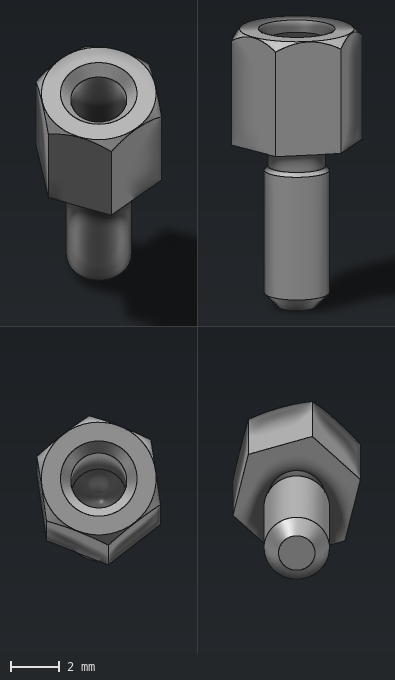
import cadquery as cq
import math

across_flats = 4.75
head_height = 4.8
total_height = 11.75
corner_radius = across_flats / math.sqrt(3)
crown_radius = 2.36

neck_radius = 1.185
neck_length = 1.0
stud_radius = 1.35
tip_radius = 0.75
stud_shoulder = stud_radius - neck_radius
tip_chamfer = stud_radius - tip_radius

hole_radius = 1.15
hole_depth = 4.0
countersink_radius = 1.575
countersink_depth = countersink_radius - hole_radius
drill_half_angle = math.radians(59)
drill_tip_depth = hole_radius / math.tan(drill_half_angle)

stud_bottom = head_height - total_height


def revolve_profile(points):
    """Revolve a closed (radius, height) outline about the Z axis."""
    return cq.Workplane("XZ").polyline(points).close().revolve(360, (0, 0, 0), (0, 1, 0))


def make_head():
    """Hexagonal prism, corners on X, with its top corners chamfered."""
    hexagon = cq.Workplane("XY").polygon(6, 2 * corner_radius).extrude(head_height)
    chamfer_drop = corner_radius - crown_radius
    envelope = revolve_profile([
        (0, 0),
        (corner_radius, 0),
        (corner_radius, head_height - chamfer_drop),
        (crown_radius, head_height),
        (0, head_height),
    ])
    return hexagon.intersect(envelope)


def make_stud():
    """Undercut neck, then the stud with a chamfered point."""
    return revolve_profile([
        (0, 0),
        (neck_radius, 0),
        (neck_radius, -neck_length),
        (stud_radius, -neck_length - stud_shoulder),
        (stud_radius, stud_bottom + tip_chamfer),
        (tip_radius, stud_bottom),
        (0, stud_bottom),
    ])


def make_hole():
    """Countersunk blind hole with a conical drill point."""
    hole_floor = head_height - hole_depth
    return revolve_profile([
        (0, head_height),
        (countersink_radius, head_height),
        (hole_radius, head_height - countersink_depth),
        (hole_radius, hole_floor),
        (0, hole_floor - drill_tip_depth),
    ])


result = make_head().union(make_stud()).cut(make_hole())